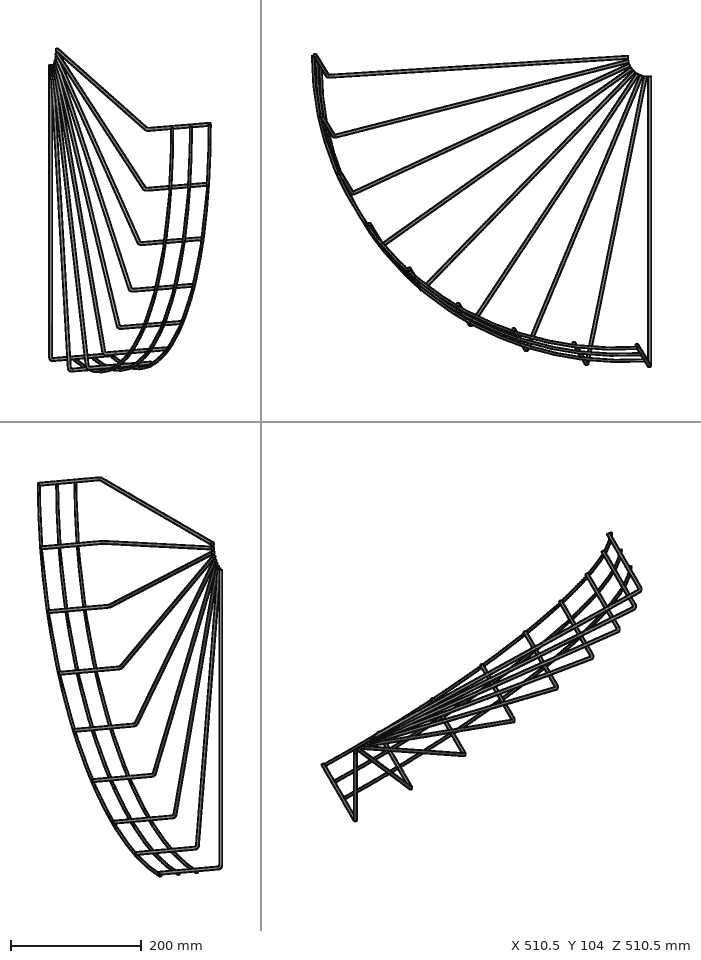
import cadquery as cq
import math

overall_size = 510.5
overall_depth = 104.0
rod_diameter = 5.0
rail_diameter = 4.0
rod_count = 9
rail_count = 3
rail_pitch = 30.0
fan_angle = 90.0
hub_radius = 33.5
bend_radius = 4.0
rail_overlap = 1.0

rod_radius = rod_diameter / 2
rail_radius = rail_diameter / 2
rail_path_radius = overall_size - rod_radius - rail_radius
post_path_radius = rail_path_radius - rail_radius - rod_radius + rail_overlap
back_y = overall_depth - rod_radius
first_rail_y = back_y - rail_radius


def make_rod(angle):
    """Radial spoke bent back along +Y, turned down from +X by the given angle."""
    bend_start = post_path_radius - bend_radius
    diagonal = bend_radius * math.sqrt(0.5)
    path = (
        cq.Workplane("XY")
        .moveTo(hub_radius, 0)
        .lineTo(bend_start, 0)
        .threePointArc(
            (bend_start + diagonal, bend_radius - diagonal),
            (post_path_radius, bend_radius),
        )
        .lineTo(post_path_radius, back_y)
    )
    rod = cq.Workplane("YZ", origin=(hub_radius, 0, 0)).circle(rod_radius).sweep(path)
    return rod.rotate((0, 0, 0), (0, 1, 0), angle)


def make_rail(y):
    """Round rail running from the +X rod to the -Z rod at the given Y."""
    return (
        cq.Workplane("XY")
        .center(rail_path_radius, y)
        .circle(rail_radius)
        .revolve(fan_angle, (-rail_path_radius, 0, 0), (-rail_path_radius, 1, 0))
    )


result = make_rod(0)
for rod_index in range(1, rod_count):
    result = result.union(make_rod(fan_angle * rod_index / (rod_count - 1)))

for rail_index in range(rail_count):
    result = result.union(make_rail(first_rail_y - rail_index * rail_pitch))